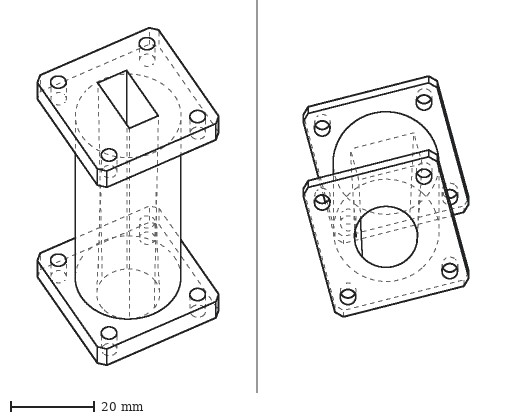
import cadquery as cq
import math

length = 76.2
flange_side = 33.3
flange_thickness = 6.4
corner_chamfer = 1.7

tube_diameter = 25.45

window_width = 15.8
window_height = 7.9
bore_diameter = 15.2

hole_diameter = 3.7
hole_spacing_x = 25.3
hole_spacing_y = 24.3


def flange(base_z):
    """Square flange with chamfered corners and four bolt holes."""
    return (
        cq.Workplane("XY", origin=(0, 0, base_z))
        .rect(flange_side, flange_side)
        .extrude(flange_thickness)
        .edges("|Z")
        .chamfer(corner_chamfer)
        .faces(">Z")
        .workplane()
        .rarray(hole_spacing_x, hole_spacing_y, 2, 2)
        .hole(hole_diameter)
    )


def tube():
    """Solid round body filling the gap between the two flanges."""
    return (
        cq.Workplane("XY", origin=(0, 0, flange_thickness))
        .circle(tube_diameter / 2)
        .extrude(length - 2 * flange_thickness)
    )


def bore_point(angle):
    """Point on the round end of the passage at an angle in radians."""
    radius = bore_diameter / 2
    return (radius * math.cos(angle), radius * math.sin(angle))


def passage():
    """Passage blending from the round lower opening to the rectangular upper one."""
    corner = math.atan2(window_height, window_width)
    circle = (
        cq.Workplane("XY")
        .moveTo(*bore_point(corner - math.pi))
        .threePointArc(bore_point(-math.pi / 2), bore_point(-corner))
        .threePointArc(bore_point(0), bore_point(corner))
        .threePointArc(bore_point(math.pi / 2), bore_point(math.pi - corner))
        .threePointArc(bore_point(math.pi), bore_point(corner - math.pi))
        .close()
    )
    return circle.workplane(offset=length).rect(window_width, window_height).loft(ruled=True)


result = (
    tube()
    .union(flange(0))
    .union(flange(length - flange_thickness))
    .cut(passage())
)